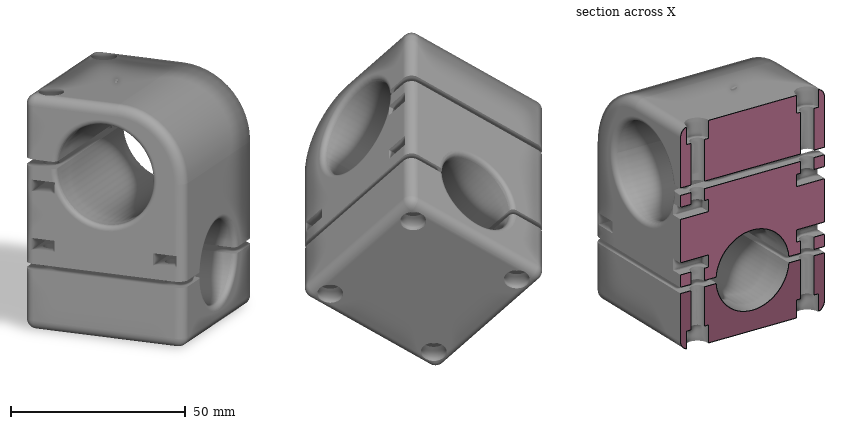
import cadquery as cq

WIDTH = 50.0
TOTAL_HEIGHT = 70.7
DASH_HEIGHT = 0.5
BLOCK_HEIGHT = TOTAL_HEIGHT - DASH_HEIGHT
EDGE_RADIUS = 3.0
HALF = WIDTH / 2

UPPER_BORE_DIAMETER = 30.1
UPPER_BORE_Z = 49.1
SLIT_THICKNESS = 2.2
SHOULDER_RADIUS = BLOCK_HEIGHT - UPPER_BORE_Z

LOWER_BORE_DIAMETER = 25.1
LOWER_BORE_Z = 19.1
GAP_THICKNESS = 1.85
GAP_BOTTOM = LOWER_BORE_Z - GAP_THICKNESS / 2
GAP_TOP = LOWER_BORE_Z + GAP_THICKNESS / 2

BORE_MOUTH_RADIUS = 1.5

SCREW_DIAMETER = 4.6
HEAD_DIAMETER = 7.4
HEAD_DEPTH = 5.65
SCREW_INSET = 6.0
SCREW_OFFSET = HALF - SCREW_INSET
NUT_WIDTH = 7.3
NUT_HEIGHT = 3.7
NUT_POCKET_DEPTH = SCREW_INSET + NUT_WIDTH / 2
UPPER_NUT_Z = 41.5
LOWER_NUT_Z = 24.05

DASH_LENGTH = 2.1
DASH_WIDTH = 0.7
DASH_X = -5.65
DASH_Y = -2.7
DASH_ANGLE = -70.0


def block():
    """Solid envelope of both bodies: a block with one large round shoulder and rounded edges."""
    profile = (
        cq.Workplane("XZ", origin=(0, HALF, 0))
        .moveTo(-HALF, 0)
        .lineTo(HALF, 0)
        .lineTo(HALF, UPPER_BORE_Z)
        .radiusArc((HALF - SHOULDER_RADIUS, BLOCK_HEIGHT), -SHOULDER_RADIUS)
        .lineTo(-HALF, BLOCK_HEIGHT)
        .close()
    )
    solid = profile.extrude(WIDTH)
    outline_edges = solid.faces("<Y or >Y or <X or <Z").edges()
    return outline_edges.fillet(EDGE_RADIUS)


def bore_cutter(diameter):
    """Bore along Z through the block width, flared by a quarter round at both ends."""
    radius = diameter / 2
    mouth = radius + BORE_MOUTH_RADIUS
    straight_end = HALF - BORE_MOUTH_RADIUS
    return (
        cq.Workplane("XZ")
        .moveTo(0, -HALF)
        .lineTo(mouth, -HALF)
        .radiusArc((radius, -straight_end), BORE_MOUTH_RADIUS)
        .lineTo(radius, straight_end)
        .radiusArc((mouth, HALF), BORE_MOUTH_RADIUS)
        .lineTo(0, HALF)
        .close()
        .revolve(360, (0, 0, 0), (0, 1, 0))
    )


def layer(bottom, top):
    """Slab as wide as the block between two heights."""
    return cq.Workplane("XY", origin=(0, 0, bottom)).rect(WIDTH, WIDTH).extrude(top - bottom)


def clamp_slit():
    """Slit from the -X side into the upper bore, starting at the height of the bore axis."""
    return (
        cq.Workplane("XY", origin=(-HALF / 2, 0, UPPER_BORE_Z))
        .rect(HALF, WIDTH)
        .extrude(SLIT_THICKNESS)
    )


def cylinder(x, y, bottom, top, diameter):
    """Upright cylinder between two heights."""
    return cq.Workplane("XY", origin=(x, y, bottom)).circle(diameter / 2).extrude(top - bottom)


def nut_pocket(x, side, bottom):
    """Slot for a nut, open towards the -Y (side = -1) or +Y (side = 1) face."""
    middle_y = side * (HALF - NUT_POCKET_DEPTH / 2)
    return (
        cq.Workplane("XY", origin=(x, middle_y, bottom))
        .rect(NUT_WIDTH, NUT_POCKET_DEPTH)
        .extrude(NUT_HEIGHT)
    )


def fastener_cuts():
    """Screw holes, head recesses and nut pockets of the upper and lower clamps."""
    cuts = []
    for side in (-1, 1):
        y = side * SCREW_OFFSET

        clamp_x = -SCREW_OFFSET
        cuts.append(cylinder(clamp_x, y, UPPER_NUT_Z, BLOCK_HEIGHT, SCREW_DIAMETER))
        cuts.append(cylinder(clamp_x, y, BLOCK_HEIGHT - HEAD_DEPTH, BLOCK_HEIGHT, HEAD_DIAMETER))
        cuts.append(nut_pocket(clamp_x, side, UPPER_NUT_Z))

        for x in (-SCREW_OFFSET, SCREW_OFFSET):
            cuts.append(cylinder(x, y, 0, LOWER_NUT_Z + NUT_HEIGHT, SCREW_DIAMETER))
            cuts.append(cylinder(x, y, 0, HEAD_DEPTH, HEAD_DIAMETER))
            cuts.append(nut_pocket(x, side, LOWER_NUT_Z))
    return cuts


def raised_dash():
    """Low bar that stands on the top face and sets the overall height."""
    return (
        cq.Workplane("XY")
        .rect(DASH_LENGTH, DASH_WIDTH)
        .extrude(DASH_HEIGHT)
        .rotate((0, 0, 0), (0, 0, 1), DASH_ANGLE)
        .translate((DASH_X, DASH_Y, BLOCK_HEIGHT))
    )


clamp = block()
upper_bore = bore_cutter(UPPER_BORE_DIAMETER).rotate((0, 0, 0), (1, 0, 0), 90)
lower_bore = bore_cutter(LOWER_BORE_DIAMETER).rotate((0, 0, 0), (0, 1, 0), 90)
clamp = clamp.cut(upper_bore.translate((0, 0, UPPER_BORE_Z)))
clamp = clamp.cut(lower_bore.translate((0, 0, LOWER_BORE_Z)))
clamp = clamp.cut(clamp_slit())
for cut in fastener_cuts():
    clamp = clamp.cut(cut)

body = clamp.intersect(layer(GAP_TOP, TOTAL_HEIGHT)).union(raised_dash())
cap = clamp.intersect(layer(0, GAP_BOTTOM))

result = cq.Compound.makeCompound([body.val(), cap.val()])